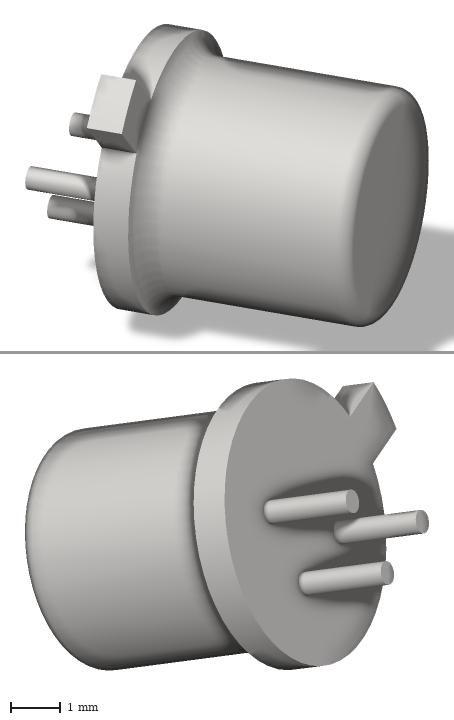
import cadquery as cq
import math

total_length = 7.33
pin_length = 2.0
pin_radius = 0.24
pin_circle_radius = 1.27
pin_angles = (0, 180, 270)

flange_radius = 2.93
flange_thickness = 0.755
tab_width = 1.17
tab_tip_radius = 4.13
tab_angle = 135

can_radius = 2.47
base_flare_length = 0.5
base_flare_height = flange_radius - can_radius
can_edge_radius = 0.31
can_end = total_length - pin_length


def make_body():
    """Revolve the flange and can, with a flared base and a rounded closed end."""
    flare_end = flange_thickness + base_flare_length
    edge_start = can_end - can_edge_radius
    arc_inset = 1 - math.sqrt(0.5)
    edge_inset = can_edge_radius * arc_inset
    flare_middle = (
        flange_thickness + base_flare_length * arc_inset,
        can_radius + base_flare_height * arc_inset,
    )
    profile = (
        cq.Workplane("XY")
        .lineTo(0, flange_radius)
        .lineTo(flange_thickness, flange_radius)
        .threePointArc(flare_middle, (flare_end, can_radius))
        .lineTo(edge_start, can_radius)
        .threePointArc(
            (can_end - edge_inset, can_radius - edge_inset),
            (can_end, can_radius - can_edge_radius),
        )
        .lineTo(can_end, 0)
        .close()
    )
    return profile.revolve(360, (0, 0, 0), (1, 0, 0))


def make_tab():
    """Make the index tab, a radial bar whose tip follows a circle about the axis."""
    bar = (
        cq.Workplane("YZ")
        .center(tab_tip_radius / 2, 0)
        .rect(tab_tip_radius, tab_width)
        .extrude(flange_thickness)
    )
    tip_disc = cq.Workplane("YZ").circle(tab_tip_radius).extrude(flange_thickness)
    return bar.intersect(tip_disc).rotate((0, 0, 0), (1, 0, 0), tab_angle)


def make_pins():
    """Make the leads that stand out of the flange towards -X."""
    centres = [
        (
            pin_circle_radius * math.cos(math.radians(angle)),
            pin_circle_radius * math.sin(math.radians(angle)),
        )
        for angle in pin_angles
    ]
    return cq.Workplane("YZ").pushPoints(centres).circle(pin_radius).extrude(-pin_length)


result = make_body().union(make_tab()).union(make_pins())